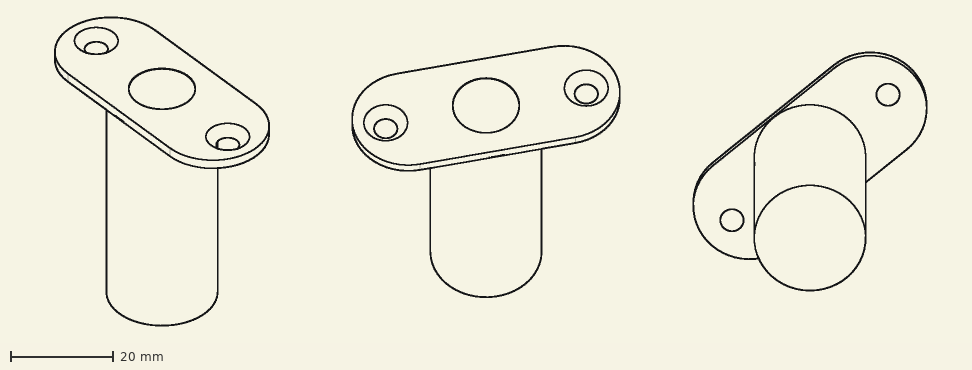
import cadquery as cq

plate_length = 53.0
plate_width = 22.0
plate_thickness = 2.0

total_height = 50.0
body_diameter = 21.8

screw_spacing = 40.0
screw_diameter = 4.5
countersink_diameter = 8.55
countersink_angle = 90.0

pin_bore_diameter = 13.05
pin_clearance = 0.05
pin_recess = 0.1
pin_diameter = pin_bore_diameter - 2 * pin_clearance


def make_plate():
    """Plate with its top face at Z = 0 and its long axis along X."""
    return (
        cq.Workplane("XY")
        .slot2D(plate_length, plate_width)
        .extrude(-plate_thickness)
    )


def make_body():
    """Solid round body from the plate's underside to the bottom."""
    return (
        cq.Workplane("XY")
        .workplane(offset=-plate_thickness)
        .circle(body_diameter / 2)
        .extrude(plate_thickness - total_height)
    )


def make_pin_gap():
    """Ring to remove around the pin, as deep as the plate is thick."""
    return (
        cq.Workplane("XY")
        .circle(pin_bore_diameter / 2)
        .circle(pin_diameter / 2)
        .extrude(-plate_thickness)
    )


def make_pin_recess():
    """Shallow disc to remove above the pin's face."""
    return cq.Workplane("XY").circle(pin_bore_diameter / 2).extrude(-pin_recess)


plate = (
    make_plate()
    .faces(">Z")
    .workplane(origin=(0, 0, 0))
    .pushPoints([(side * screw_spacing / 2, 0) for side in (-1, 1)])
    .cskHole(screw_diameter, countersink_diameter, countersink_angle)
)

result = plate.union(make_body()).cut(make_pin_gap()).cut(make_pin_recess())